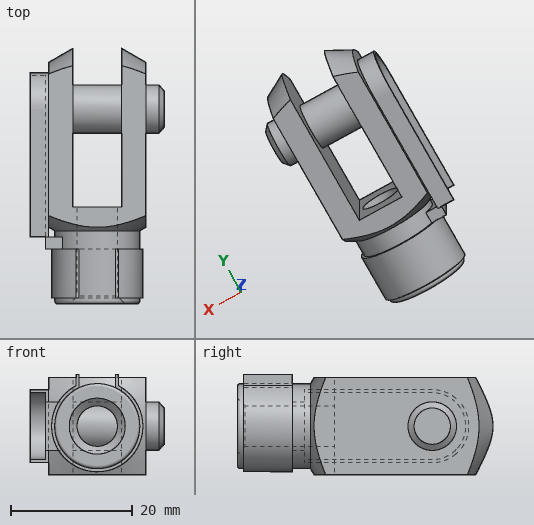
import cadquery as cq
import math

LENGTH = 42.0
HEIGHT = 16.5
BODY_WIDTH = 16.0
SLOT_WIDTH = 8.0
SLOT_FLOOR_Y = 15.95
CONE_SLOPE = math.tan(math.radians(30))

NECK_DIAMETER = 14.0
NECK_TOP_Y = 12.0
NECK_ROUNDING = 0.5
BORE_DIAMETER = 6.65
COUNTERSINK_DIAMETER = 9.2

PIN_DIAMETER = 8.0
PIN_Y = 32.0
PIN_END_X = 11.0
PIN_CHAMFER_LENGTH = 0.9
PIN_CHAMFER_DEPTH = 1.0

SHEET = 0.5
CLIP_OUTER_X = -11.0
CLIP_HALF_HEIGHT = 6.0
CLIP_END_Y = 11.0
TONGUE_HEIGHT = 8.0
RING_START_Y = 0.95
RING_END_Y = 9.05
RING_GAP = 5.95

HALF_BODY = BODY_WIDTH / 2
NECK_RADIUS = NECK_DIAMETER / 2
TAB_TOP_Z = HEIGHT - HALF_BODY


def block(x_range, y_range, z_range):
    """Axis-aligned box given by its limits."""
    (x0, x1), (y0, y1), (z0, z1) = x_range, y_range, z_range
    return cq.Workplane("XY").box(x1 - x0, y1 - y0, z1 - z0, centered=False).translate((x0, y0, z0))


def cylinder_y(radius, y0, y1):
    """Cylinder about the Y axis."""
    return cq.Workplane("XZ", origin=(0, y0, 0)).circle(radius).extrude(y0 - y1)


def make_fork():
    """Square body with both ends turned to cones, slotted between the arms."""
    corner_radius = HALF_BODY * math.sqrt(2)
    tip_y = LENGTH + SLOT_WIDTH / 2 * CONE_SLOPE
    turned = (
        cq.Workplane("XY")
        .moveTo(0, NECK_TOP_Y)
        .lineTo(NECK_RADIUS, NECK_TOP_Y)
        .lineTo(corner_radius, NECK_TOP_Y + (corner_radius - NECK_RADIUS) * CONE_SLOPE)
        .lineTo(corner_radius, tip_y - corner_radius * CONE_SLOPE)
        .lineTo(0, tip_y)
        .close()
        .revolve(360, (0, 0, 0), (0, 1, 0))
    )
    across = (-HALF_BODY, HALF_BODY)
    square = block(across, (NECK_TOP_Y, tip_y), across)
    slot = block((-SLOT_WIDTH / 2, SLOT_WIDTH / 2), (SLOT_FLOOR_Y, tip_y), across)
    return turned.intersect(square).cut(slot)


def make_neck():
    """Round shank with a rounded edge at its free end."""
    return cylinder_y(NECK_RADIUS, 0, NECK_TOP_Y).faces("<Y").fillet(NECK_ROUNDING)


def make_bore():
    """Countersunk hole that opens into the slot."""
    bore_radius = BORE_DIAMETER / 2
    sink_radius = COUNTERSINK_DIAMETER / 2
    sink_depth = sink_radius - bore_radius
    return (
        cq.Workplane("XY")
        .lineTo(sink_radius, 0)
        .lineTo(bore_radius, sink_depth)
        .lineTo(bore_radius, SLOT_FLOOR_Y)
        .lineTo(0, SLOT_FLOOR_Y)
        .close()
        .revolve(360, (0, 0, 0), (0, 1, 0))
    )


def make_pin():
    """Cross pin from the clip plate through both arms, chamfered at its free end."""
    return (
        cq.Workplane("YZ", origin=(-HALF_BODY, PIN_Y, 0))
        .circle(PIN_DIAMETER / 2)
        .extrude(PIN_END_X + HALF_BODY)
        .faces(">X")
        .chamfer(PIN_CHAMFER_LENGTH, PIN_CHAMFER_DEPTH)
    )


def clip_plate_shape(half_height, x0, x1):
    """Plate parallel to YZ with a full round end about the pin axis."""
    return (
        cq.Workplane("YZ", origin=(x0, 0, 0))
        .moveTo(CLIP_END_Y, -half_height)
        .lineTo(PIN_Y, -half_height)
        .threePointArc((PIN_Y + half_height, 0), (PIN_Y, half_height))
        .lineTo(CLIP_END_Y, half_height)
        .close()
        .extrude(x1 - x0)
    )


def make_clip_plate():
    """Rimmed side plate with the tongue that ties it to the ring."""
    plate_x = -HALF_BODY - SHEET
    plate = clip_plate_shape(CLIP_HALF_HEIGHT, CLIP_OUTER_X, -HALF_BODY)
    recess = clip_plate_shape(CLIP_HALF_HEIGHT - SHEET, CLIP_OUTER_X, plate_x)
    half_tongue = TONGUE_HEIGHT / 2
    tongue = block((plate_x, 0), (RING_END_Y, CLIP_END_Y), (-half_tongue, half_tongue))
    return plate.cut(recess).union(tongue)


def make_clip_ring():
    """Ring around the neck, open at the top with an upright tab on each side of the gap."""
    half_gap = RING_GAP / 2
    along = (RING_START_Y, RING_END_Y)
    ring = cylinder_y(NECK_RADIUS + SHEET, *along)
    ring = ring.cut(block((-half_gap, half_gap), along, (0, TAB_TOP_Z)))
    for x0 in (-half_gap - SHEET, half_gap):
        ring = ring.union(block((x0, x0 + SHEET), along, (0, TAB_TOP_Z)))
    return ring


clip = make_clip_plate().union(make_clip_ring())
result = make_fork().union(make_neck()).union(clip).cut(make_bore()).union(make_pin())